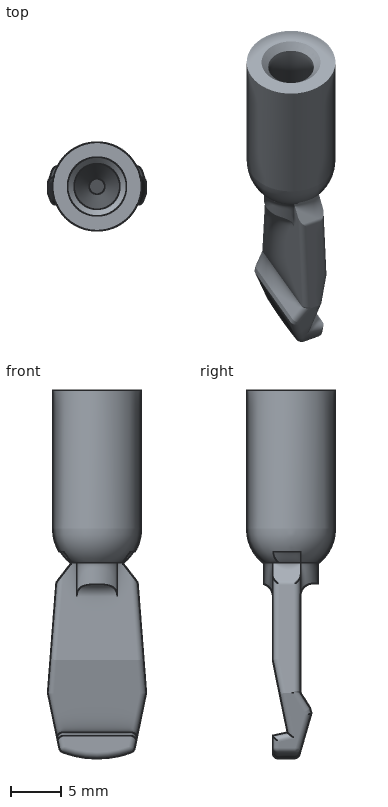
import cadquery as cq
import math

total_height = 36.63
barrel_diameter = 8.83
barrel_radius = barrel_diameter / 2
barrel_base = 22.9
neck_top = 19.5

bore_radius = 2.27
mouth_chamfer = 0.65
socket_tip_radius = 0.77

neck_radius = 2.7
neck_base = 17.4
neck_fillet = 1.2

notch_top = 20.6
notch_half_width = 3.35

front_y = -1.83
back_y = 0.95
waist_half_width = 2.53
shoulder_z = 17.5
shoulder_half_width = 4.05
widest_z = 6.55
widest_half_width = 4.9
tip_corner_z = 0.75
tip_half_width = 3.7
ramp_top = 9.8
edge_round = 0.62
height_margin = 0.05

foot_top = 2.3
foot_root_y = -0.35
foot_root_z = 2.65
hook_y = 2.05
hook_z = 4.55
hook_nose_y = 1.9
hook_nose_z = 5.05
toe_back_y = 0.75


def make_barrel():
    """Revolve the barrel, its rounded end and the socket about Z."""
    dome_end_radius = math.sqrt(barrel_radius**2 - (barrel_base - neck_top) ** 2)
    mid_angle = math.atan2(barrel_base - neck_top, dome_end_radius) / 2
    arc_middle = (
        barrel_radius * math.cos(mid_angle),
        barrel_base - barrel_radius * math.sin(mid_angle),
    )
    socket_floor = barrel_base - (bore_radius - socket_tip_radius)
    return (
        cq.Workplane("XZ")
        .moveTo(0, neck_top)
        .lineTo(dome_end_radius, neck_top)
        .threePointArc(arc_middle, (barrel_radius, barrel_base))
        .lineTo(barrel_radius, total_height)
        .lineTo(bore_radius + mouth_chamfer, total_height)
        .lineTo(bore_radius, total_height - mouth_chamfer)
        .lineTo(bore_radius, barrel_base)
        .lineTo(socket_tip_radius, socket_floor)
        .lineTo(0, socket_floor)
        .close()
        .revolve(360, (0, 0), (0, 1))
    )


def make_notches():
    """V-shaped side notches at the waist, through dome and neck, as deep in Y as the blade is thick."""
    notch = (
        cq.Workplane("XZ", origin=(0, back_y, 0))
        .polyline([
            (waist_half_width, neck_top),
            (notch_half_width, notch_top),
            (barrel_radius, notch_top),
            (barrel_radius, shoulder_z),
            (shoulder_half_width, shoulder_z),
        ])
        .close()
        .extrude(back_y - front_y)
    )
    return notch.union(notch.mirror("YZ"))


def make_neck():
    """Round neck, flared out from the blade faces by concave fillets."""
    post_base = neck_base - neck_fillet
    post = cq.Workplane("XY").workplane(offset=post_base)
    post = post.circle(neck_radius).extrude(neck_top - post_base)
    bend = neck_fillet * math.sqrt(0.5)
    front_flare = front_y - neck_fillet
    back_flare = back_y + neck_fillet
    profile = (
        cq.Workplane("YZ")
        .moveTo(front_y, post_base)
        .threePointArc((front_flare + bend, post_base + bend), (front_flare, neck_base))
        .lineTo(front_flare, neck_top)
        .lineTo(neck_radius, neck_top)
        .lineTo(neck_radius, neck_base)
        .lineTo(back_flare, neck_base)
        .threePointArc((back_flare - bend, post_base + bend), (back_y, post_base))
        .close()
        .extrude(neck_radius, both=True)
    )
    return post.intersect(profile)


def edges_to_round(blade):
    """Face borders below the shoulders, the shoulder corners, the toe borders and corners."""
    crosswise = blade.edges("|X").vals()
    lengthwise = blade.edges("|Y").vals()
    rounded = []
    for edge in blade.edges().vals():
        below_shoulder = edge.BoundingBox().zmax < shoulder_z + height_margin
        through = any(edge.isSame(other) for other in lengthwise)
        height = edge.Center().z
        at_corner = height < tip_corner_z + height_margin or height > shoulder_z - height_margin
        is_crosswise = any(edge.isSame(other) for other in crosswise)
        if below_shoulder and not is_crosswise and (at_corner or not through):
            rounded.append(edge)
    return rounded


def make_blade():
    """Intersect the side profile with the face outline, then round the long edges."""
    profile = (
        cq.Workplane("YZ")
        .polyline([
            (front_y, neck_top),
            (front_y, ramp_top),
            (foot_root_y, foot_root_z),
            (front_y, foot_top),
            (front_y, 0),
            (toe_back_y, 0),
            (hook_y, hook_z),
            (hook_nose_y, hook_nose_z),
            (back_y, widest_z),
            (back_y, neck_top),
        ])
        .close()
        .extrude(widest_half_width, both=True)
    )
    outline = (
        cq.Workplane("XZ")
        .moveTo(-tip_half_width, tip_corner_z)
        .threePointArc((0, 0), (tip_half_width, tip_corner_z))
        .lineTo(widest_half_width, widest_z)
        .lineTo(shoulder_half_width, shoulder_z)
        .lineTo(waist_half_width, neck_top)
        .lineTo(-waist_half_width, neck_top)
        .lineTo(-shoulder_half_width, shoulder_z)
        .lineTo(-widest_half_width, widest_z)
        .close()
        .extrude(barrel_radius, both=True)
    )
    blade = profile.intersect(outline)
    return blade.newObject(edges_to_round(blade)).fillet(edge_round)


result = make_barrel().union(make_neck()).cut(make_notches()).union(make_blade())